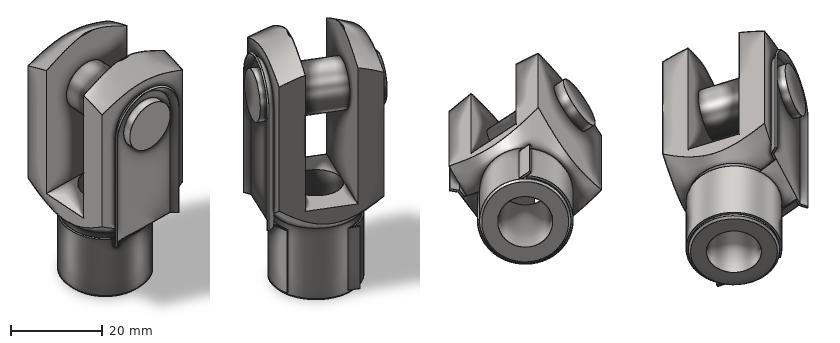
import cadquery as cq
import math

height = 62.0
body_width = 24.0
half_width = body_width / 2
slot_width = 12.0
slot_floor = 24.0
neck_radius = 20.0 / 2
neck_top = 18.05
neck_chamfer = 0.5
bore_diameter = 12.0
crown_flat_radius = 6.3
crown_angle = math.radians(30)
turning_radius = 18.6

pin_diameter = 12.0
pin_length = 29.0
pin_height = 48.0

sheet = 0.5
cup_base_radius = 8.0
cup_depth = 1.85
arm_bottom = 19.0
sleeve_bottom = 1.05
sleeve_top = 16.55
sleeve_radius = neck_radius + sheet
link_half_width = 6.2
lug_inner_y = 8.4
lug_tip_x = -7.45


def make_fork():
    """Square bar with coned ends, slotted and bored through the neck."""
    bar = cq.Workplane("XY").box(body_width, body_width, height, centered=(True, True, False))
    crown_edge = height - (turning_radius - crown_flat_radius) * math.tan(crown_angle)
    shoulder_edge = neck_top + turning_radius - neck_radius
    envelope = (
        cq.Workplane("XZ")
        .moveTo(0, 0)
        .lineTo(neck_radius - neck_chamfer, 0)
        .lineTo(neck_radius, neck_chamfer)
        .lineTo(neck_radius, neck_top)
        .lineTo(turning_radius, shoulder_edge)
        .lineTo(turning_radius, crown_edge)
        .lineTo(crown_flat_radius, height)
        .lineTo(0, height)
        .close()
        .revolve(360, (0, 0, 0), (0, 1, 0))
    )
    slot = (
        cq.Workplane("XY", origin=(0, 0, slot_floor))
        .box(slot_width, body_width, height - slot_floor, centered=(True, True, False))
    )
    bore = cq.Workplane("XY").circle(bore_diameter / 2).extrude(slot_floor)
    return bar.intersect(envelope).cut(slot).cut(bore)


def make_pin():
    return (
        cq.Workplane("YZ", origin=(-pin_length / 2, 0, pin_height))
        .circle(pin_diameter / 2)
        .extrude(pin_length)
    )


def make_cup_and_arm():
    """Sheet with a 45 degree flared rim: half a cup round the pin and a straight arm below."""
    bend_shift = sheet * math.tan(math.radians(22.5))
    rim_step = sheet * math.sqrt(0.5)
    inside_x = half_width + sheet
    outside_x = half_width + cup_depth
    rim_x = outside_x - rim_step
    rim_radius = cup_base_radius + rim_x - half_width
    half_section = [
        (half_width, 0),
        (half_width, cup_base_radius),
        (rim_x, rim_radius),
        (outside_x, rim_radius - rim_step),
        (inside_x, cup_base_radius - bend_shift),
        (inside_x, 0),
    ]
    profile = cq.Workplane("XY", origin=(0, 0, pin_height)).polyline(half_section).close()
    cup = profile.revolve(180, (0, 0, 0), (1, 0, 0))
    half_arm = (
        cq.Workplane("XY", origin=(0, 0, arm_bottom))
        .polyline(half_section)
        .close()
        .extrude(pin_height - arm_bottom)
    )
    return cup.union(half_arm).union(half_arm.mirror("XZ"))


def circle_point(radius, angle):
    return (radius * math.cos(angle), radius * math.sin(angle))


def band_outline(start, end, level):
    """Outline of a strip of sheet around the neck between two angles."""
    middle = (start + end) / 2
    return (
        cq.Workplane("XY", origin=(0, 0, level))
        .moveTo(*circle_point(neck_radius, start))
        .lineTo(*circle_point(sleeve_radius, start))
        .threePointArc(circle_point(sleeve_radius, middle), circle_point(sleeve_radius, end))
        .lineTo(*circle_point(neck_radius, end))
        .threePointArc(circle_point(neck_radius, middle), circle_point(neck_radius, start))
        .close()
    )


def make_sleeve():
    """Open band from the link round the -Y side to an outward lug."""
    link_angle = math.asin(link_half_width / sleeve_radius)
    lug_angle = math.pi - math.asin(lug_inner_y / sleeve_radius)
    sleeve_height = sleeve_top - sleeve_bottom
    band = band_outline(lug_angle, link_angle + 2 * math.pi, sleeve_bottom).extrude(sleeve_height)
    lug_root_x = -math.sqrt(neck_radius**2 - (lug_inner_y + sheet) ** 2)
    lug = (
        cq.Workplane("XY", origin=(lug_tip_x, lug_inner_y, sleeve_bottom))
        .box(lug_root_x - lug_tip_x, sheet, sleeve_height, centered=False)
    )
    return band.union(lug)


def make_link():
    """Sloping strip from the curved sleeve edge to the straight end of the arm."""
    link_angle = math.asin(link_half_width / sleeve_radius)
    return (
        band_outline(-link_angle, link_angle, sleeve_top)
        .workplane(offset=arm_bottom - sleeve_top)
        .moveTo(half_width, -link_half_width)
        .lineTo(half_width + sheet, -link_half_width)
        .lineTo(half_width + sheet, link_half_width)
        .lineTo(half_width, link_half_width)
        .close()
        .loft(ruled=True)
    )


result = (
    make_fork()
    .union(make_pin())
    .union(make_cup_and_arm())
    .union(make_sleeve())
    .union(make_link())
)